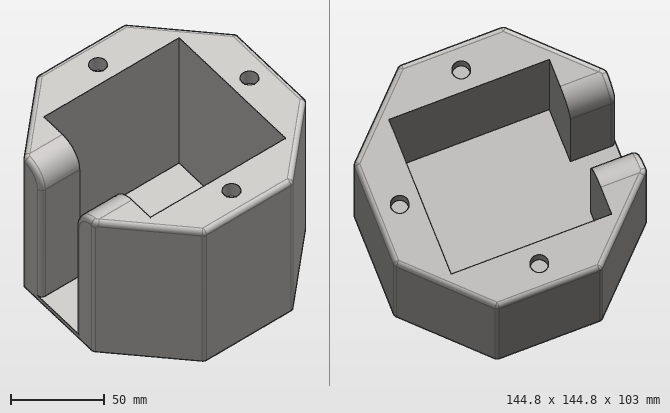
import cadquery as cq
import math

OCTAGON_SIDES = 8
WIDTH = 144.8
HEIGHT = 103.0
FLOOR = 3.0
EDGE_RADIUS = 3.0
POCKET_SIDE = 92.0
HOLE_DIAMETER = 10.0
HOLE_DEPTH = HOLE_DIAMETER
HOLE_OFFSET = 57.7

HALF_SIDE_ANGLE = 180 / OCTAGON_SIDES
OCTAGON_SIDE = WIDTH * math.tan(math.radians(HALF_SIDE_ANGLE))
OCTAGON_DIAMETER = WIDTH / math.cos(math.radians(HALF_SIDE_ANGLE))
SLOT_WIDTH = OCTAGON_SIDE / 2
LIP_RADIUS = (OCTAGON_SIDE - SLOT_WIDTH) / 2
FRONT_Y = -WIDTH / 2
TOLERANCE = 0.01


def octagon_block():
    """Octagonal prism standing on Z = 0 with flats facing X and Y."""
    return (
        cq.Workplane("XY")
        .transformed(rotate=(0, 0, HALF_SIDE_ANGLE))
        .polygon(OCTAGON_SIDES, OCTAGON_DIAMETER)
        .extrude(HEIGHT)
    )


def slot_cutter():
    """Front slot that flares out at the top through two quarter-round lips."""
    half_slot = SLOT_WIDTH / 2
    half_mouth = OCTAGON_SIDE / 2
    lip_start = HEIGHT - LIP_RADIUS
    diagonal = LIP_RADIUS * math.sqrt(0.5)
    arc_x = half_mouth - diagonal
    arc_z = lip_start + diagonal
    return (
        cq.Workplane("XZ")
        .moveTo(-half_slot, FLOOR)
        .lineTo(half_slot, FLOOR)
        .lineTo(half_slot, lip_start)
        .threePointArc((arc_x, arc_z), (half_mouth, HEIGHT))
        .lineTo(-half_mouth, HEIGHT)
        .threePointArc((-arc_x, arc_z), (-half_slot, lip_start))
        .close()
        .extrude(-FRONT_Y)
    )


def pocket_cutter():
    """Square pocket open at the top."""
    return (
        cq.Workplane("XY", origin=(0, 0, FLOOR))
        .rect(POCKET_SIDE, POCKET_SIDE)
        .extrude(HEIGHT - FLOOR)
    )


def is_outer_edge(edge):
    """True for the octagon's corners, its top rim and the slot's front mouth above the floor."""
    center = edge.Center()
    box = edge.BoundingBox()
    is_corner = box.zlen > HEIGHT - TOLERANCE
    is_rim = center.z > HEIGHT - TOLERANCE and math.hypot(center.x, center.y) > WIDTH / 2 - TOLERANCE
    is_mouth = abs(center.y - FRONT_Y) < TOLERANCE and box.zmax > FLOOR + TOLERANCE
    return is_corner or is_rim or is_mouth


def hole_cutters():
    """Blind holes in the top face, to the left, to the right and behind the pocket."""
    return (
        cq.Workplane("XY", origin=(0, 0, HEIGHT - HOLE_DEPTH))
        .pushPoints([(-HOLE_OFFSET, 0), (HOLE_OFFSET, 0), (0, HOLE_OFFSET)])
        .circle(HOLE_DIAMETER / 2)
        .extrude(HOLE_DEPTH)
    )


slotted_block = octagon_block().cut(slot_cutter())
outer_edges = [edge for edge in slotted_block.edges().vals() if is_outer_edge(edge)]
rounded_block = slotted_block.newObject(outer_edges).fillet(EDGE_RADIUS)

result = rounded_block.cut(pocket_cutter()).cut(hole_cutters())